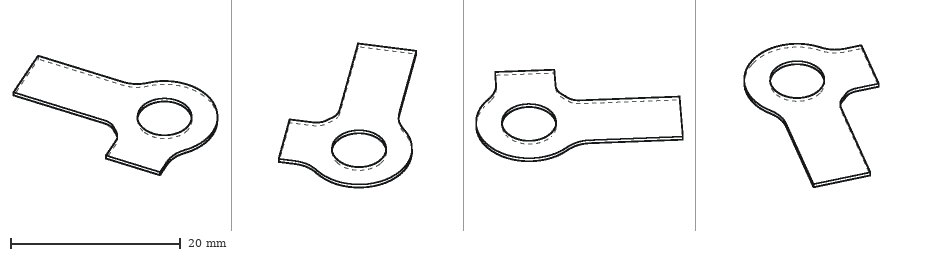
import cadquery as cq
import math

overall_length = 24.25
overall_width = 15.25
thickness = 0.5
ring_radius = 6.25
hole_diameter = 6.4
tab_width = 7.0
outer_blend_radius = 4.0
inner_blend_radius = 2.0

half_tab = tab_width / 2
long_tab_end = -(overall_length - ring_radius)
short_tab_end = -(overall_width - ring_radius)


def ring_point(degrees):
    angle = math.radians(degrees)
    return (ring_radius * math.cos(angle), ring_radius * math.sin(angle))


def tab_blend(radius):
    """Concave blend from a tab edge to the ring, for a tab along +X with its edge at +Y.

    Returns the start on the tab edge, the arc's middle and the end on the ring.
    """
    centre_y = half_tab + radius
    centre_x = math.sqrt((ring_radius + radius) ** 2 - centre_y ** 2)
    ring_angle = math.atan2(centre_y, centre_x)
    middle_angle = (-math.pi / 2 + ring_angle - math.pi) / 2
    start = (centre_x, half_tab)
    middle = (centre_x + radius * math.cos(middle_angle), centre_y + radius * math.sin(middle_angle))
    end = (ring_radius * math.cos(ring_angle), ring_radius * math.sin(ring_angle))
    return start, middle, end


def on_long_tab(point, side):
    """Place a blend point on the -X tab; side is +1 for its +Y edge, -1 for its -Y edge."""
    return (-point[0], side * point[1])


def on_short_tab(point, side):
    """Place a blend point on the -Y tab; side is +1 for its +X edge, -1 for its -X edge."""
    return (side * point[1], -point[0])


outer_start, outer_middle, outer_end = tab_blend(outer_blend_radius)
inner_start, inner_middle, inner_end = tab_blend(inner_blend_radius)

outline = (
    cq.Workplane("XY")
    .moveTo(long_tab_end, half_tab)
    .lineTo(*on_long_tab(outer_start, 1))
    .threePointArc(on_long_tab(outer_middle, 1), on_long_tab(outer_end, 1))
    .threePointArc(ring_point(45), on_short_tab(outer_end, 1))
    .threePointArc(on_short_tab(outer_middle, 1), on_short_tab(outer_start, 1))
    .lineTo(half_tab, short_tab_end)
    .lineTo(-half_tab, short_tab_end)
    .lineTo(*on_short_tab(inner_start, -1))
    .threePointArc(on_short_tab(inner_middle, -1), on_short_tab(inner_end, -1))
    .threePointArc(ring_point(225), on_long_tab(inner_end, -1))
    .threePointArc(on_long_tab(inner_middle, -1), on_long_tab(inner_start, -1))
    .lineTo(long_tab_end, -half_tab)
    .close()
)
plate = outline.extrude(thickness)
hole = cq.Workplane("XY").circle(hole_diameter / 2).extrude(thickness)

result = plate.cut(hole)